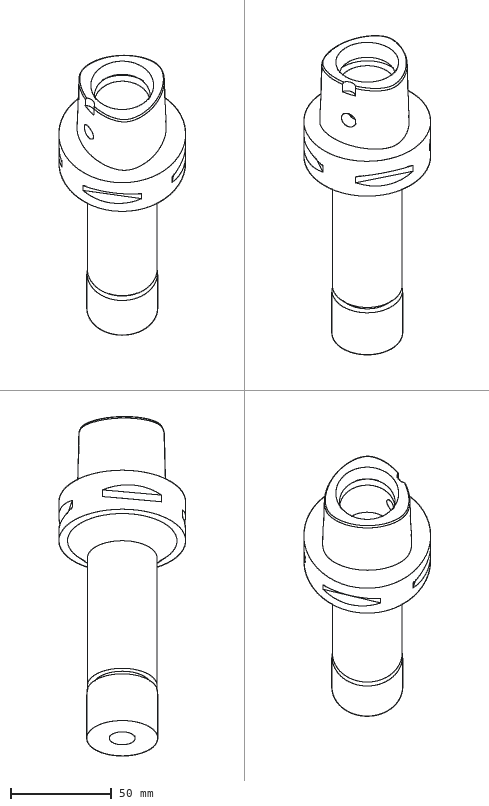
import cadquery as cq
import math

TOTAL_HEIGHT = 173.0
NUT_HEIGHT = 26.8
NECK_TOP = 30.1
CONE_BOTTOM = 103.1
FLANGE_BOTTOM = 113.0
FLANGE_TOP = 135.3

SHANK_RADIUS = 17.3
NUT_RADIUS = 17.6
NUT_CHAMFER_HEIGHT = 2.0
NUT_CHAMFER_INSET = 0.2
NECK_RADIUS = 14.4
CONE_TOP_RADIUS = 27.2
FLANGE_RADIUS = 31.5

COUPLING_RADIUS = 22.1
COUPLING_LOBE = 1.4
COUPLING_TAPER = 1 / 40
COUPLING_CHAMFER_HEIGHT = 1.2
COUPLING_CHAMFER_INSET = 0.5
OUTLINE_POINTS = 48

MOUTH_RADIUS = 15.5
SOCKET_RADIUS = 13.8
MOUTH_DEPTH = 6.2
GROOVE_RADIUS = 17.6
GROOVE_START_DEPTH = 8.1
GROOVE_END_DEPTH = 13.5
SOCKET_FLOOR = FLANGE_TOP
COUNTERBORE_RADIUS = 9.2
COUNTERBORE_FLOOR = CONE_BOTTOM
SHANK_BORE_RADIUS = 7.6
NUT_BORE_RADIUS = 6.4

CROSS_HOLE_RADIUS = 4.0
CROSS_HOLE_HEIGHT = 150.7
NOTCH_RADIUS = 4.3
NOTCH_CENTRE_Y = -22.0
NOTCH_FLOOR = 167.1

SLOT_COUNT = 4
SLOT_FIRST_ANGLE = 45
SLOT_HEIGHT = 123.0
SLOT_FLOOR_DISTANCE = 27.77
SLOT_FLOOR_HALF_WIDTH = 1.9
SLOT_FLANK_ANGLE = 30


def coupling_wire(radius, height):
    """Constant-width three-lobed outline with one lobe pointing to +Y."""
    points = []
    for i in range(OUTLINE_POINTS):
        angle = 2 * math.pi * i / OUTLINE_POINTS
        reach = radius + COUPLING_LOBE * math.cos(3 * angle)
        slope = -3 * COUPLING_LOBE * math.sin(3 * angle)
        along_lobe = reach * math.cos(angle) - slope * math.sin(angle)
        across_lobe = reach * math.sin(angle) + slope * math.cos(angle)
        points.append(cq.Vector(-across_lobe, along_lobe, height))
    return cq.Wire.assembleEdges([cq.Edge.makeSpline(points, periodic=True)])


def make_coupling():
    chamfer_start = TOTAL_HEIGHT - COUPLING_CHAMFER_HEIGHT
    upper_radius = COUPLING_RADIUS - COUPLING_TAPER * (chamfer_start - FLANGE_TOP)
    base = coupling_wire(COUPLING_RADIUS, FLANGE_TOP)
    upper = coupling_wire(upper_radius, chamfer_start)
    rim = coupling_wire(upper_radius - COUPLING_CHAMFER_INSET, TOTAL_HEIGHT)
    taper = cq.Solid.makeLoft([base, upper], True)
    chamfer = cq.Solid.makeLoft([upper, rim], True)
    return cq.Workplane(taper).union(cq.Workplane(chamfer))


def revolve_profile(points):
    """Revolve (radius, height) points around the tool axis."""
    return cq.Workplane("XZ").polyline(points).close().revolve(360, (0, 0), (0, 1))


def make_shank():
    return revolve_profile([
        (0, NUT_HEIGHT),
        (NECK_RADIUS, NUT_HEIGHT),
        (NECK_RADIUS, NECK_TOP),
        (SHANK_RADIUS, NECK_TOP),
        (SHANK_RADIUS, CONE_BOTTOM),
        (CONE_TOP_RADIUS, FLANGE_BOTTOM),
        (FLANGE_RADIUS, FLANGE_BOTTOM),
        (FLANGE_RADIUS, FLANGE_TOP),
        (0, FLANGE_TOP),
    ])


def make_bore():
    groove_top = TOTAL_HEIGHT - GROOVE_START_DEPTH
    groove_bottom = TOTAL_HEIGHT - GROOVE_END_DEPTH
    return revolve_profile([
        (0, NUT_HEIGHT),
        (SHANK_BORE_RADIUS, NUT_HEIGHT),
        (SHANK_BORE_RADIUS, COUNTERBORE_FLOOR),
        (COUNTERBORE_RADIUS, COUNTERBORE_FLOOR),
        (COUNTERBORE_RADIUS, SOCKET_FLOOR),
        (SOCKET_RADIUS, SOCKET_FLOOR),
        (SOCKET_RADIUS, groove_bottom),
        (GROOVE_RADIUS, groove_bottom),
        (GROOVE_RADIUS, groove_top),
        (SOCKET_RADIUS, groove_top),
        (SOCKET_RADIUS, TOTAL_HEIGHT - MOUTH_DEPTH),
        (MOUTH_RADIUS, TOTAL_HEIGHT),
        (0, TOTAL_HEIGHT),
    ])


def make_cross_hole():
    """Radial hole from the axis out through the -Y wall."""
    return (
        cq.Workplane("XZ")
        .center(0, CROSS_HOLE_HEIGHT)
        .circle(CROSS_HOLE_RADIUS)
        .extrude(FLANGE_RADIUS)
    )


def make_notch():
    return (
        cq.Workplane("XY", origin=(0, NOTCH_CENTRE_Y, NOTCH_FLOOR))
        .circle(NOTCH_RADIUS)
        .extrude(TOTAL_HEIGHT - NOTCH_FLOOR)
    )


def make_slot(angle):
    """Straight slot with a flat floor and flaring flanks."""
    depth = FLANGE_RADIUS - SLOT_FLOOR_DISTANCE
    mouth_half_width = SLOT_FLOOR_HALF_WIDTH + depth * math.tan(math.radians(SLOT_FLANK_ANGLE))
    return (
        cq.Workplane("XZ")
        .polyline([
            (SLOT_FLOOR_DISTANCE, SLOT_HEIGHT - SLOT_FLOOR_HALF_WIDTH),
            (FLANGE_RADIUS, SLOT_HEIGHT - mouth_half_width),
            (FLANGE_RADIUS, SLOT_HEIGHT + mouth_half_width),
            (SLOT_FLOOR_DISTANCE, SLOT_HEIGHT + SLOT_FLOOR_HALF_WIDTH),
        ])
        .close()
        .extrude(FLANGE_RADIUS, both=True)
        .rotate((0, 0, 0), (0, 0, 1), angle)
    )


def make_holder():
    holder = make_shank().union(make_coupling())
    holder = holder.cut(make_bore()).cut(make_cross_hole()).cut(make_notch())
    for i in range(SLOT_COUNT):
        holder = holder.cut(make_slot(SLOT_FIRST_ANGLE + i * 360 / SLOT_COUNT))
    return holder


def make_nut():
    """Clamping nut seated against the end of the holder's neck."""
    return revolve_profile([
        (NUT_BORE_RADIUS, 0),
        (NUT_RADIUS, 0),
        (NUT_RADIUS, NUT_HEIGHT - NUT_CHAMFER_HEIGHT),
        (NUT_RADIUS - NUT_CHAMFER_INSET, NUT_HEIGHT),
        (NUT_BORE_RADIUS, NUT_HEIGHT),
    ])


holder = make_holder()
nut = make_nut()
result = cq.Compound.makeCompound([holder.val(), nut.val()])